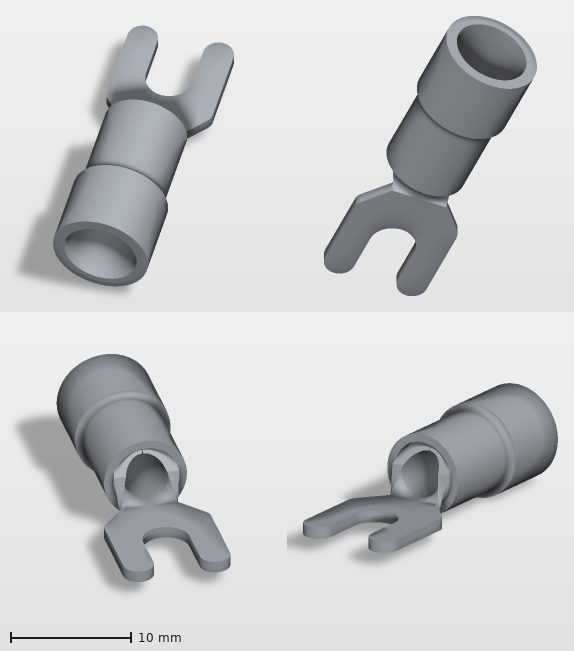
import cadquery as cq
import math

total_length = 25.8

flange_radius = 4.1
flange_length = 6.25
grip_radius = 3.55
sleeve_length = 13.95
entry_bore_radius = 3.15
step_fillet = flange_radius - grip_radius
barrel_start = flange_length + step_fillet

barrel_radius = 2.86
sheet_thickness = 1.0
barrel_bore_radius = barrel_radius - sheet_thickness
seam_width = 0.08
barrel_end = 14.3
trough_top = 0.57

fork_width = 9.15
slot_width = 3.97
slot_floor = 19.07
neck_start = 15.27
neck_width = 4.85
shoulder_start = 17.8
shoulder_fillet = 0.98
prong_width = (fork_width - slot_width) / 2


def make_sleeve():
    """Revolve the stepped sleeve, with its bore stepping down to fit the barrel."""
    half_root = math.sqrt(0.5)
    arc_middle = (
        flange_radius - step_fillet * half_root,
        barrel_start - step_fillet * half_root,
    )
    return (
        cq.Workplane("XY")
        .moveTo(entry_bore_radius, 0)
        .lineTo(flange_radius, 0)
        .lineTo(flange_radius, flange_length)
        .threePointArc(arc_middle, (grip_radius, barrel_start))
        .lineTo(grip_radius, sleeve_length)
        .lineTo(barrel_radius, sleeve_length)
        .lineTo(barrel_radius, barrel_start)
        .lineTo(entry_bore_radius, barrel_start)
        .close()
        .revolve(360, (0, 0, 0), (0, 1, 0))
    )


def make_barrel():
    """Rolled tube with a seam on top, its front end cut back at 45 degrees."""
    tube = (
        cq.Workplane("XZ", origin=(0, barrel_start, 0))
        .circle(barrel_radius)
        .circle(barrel_bore_radius)
        .extrude(barrel_start - barrel_end)
    )
    seam = cq.Workplane("XY").box(
        seam_width, total_length, barrel_radius, centered=(True, False, False)
    )
    cut_height = barrel_radius - trough_top
    front_cut = (
        cq.Workplane("YZ")
        .moveTo(barrel_end, trough_top)
        .lineTo(barrel_end, barrel_radius)
        .lineTo(barrel_end - cut_height, barrel_radius)
        .close()
        .extrude(barrel_radius, both=True)
    )
    return tube.cut(seam).cut(front_cut)


def make_transition():
    """Blend the open trough at the barrel's front into the flat neck."""
    outer_x = math.sqrt(barrel_radius**2 - trough_top**2)
    inner_x = math.sqrt(barrel_bore_radius**2 - trough_top**2)
    half_neck = neck_width / 2

    def trough_point(x, z):
        return cq.Vector(x, barrel_end, z)

    def neck_point(x, z):
        return cq.Vector(x, neck_start, z)

    outer_left = trough_point(-outer_x, trough_top)
    outer_right = trough_point(outer_x, trough_top)
    inner_left = trough_point(-inner_x, trough_top)
    inner_right = trough_point(inner_x, trough_top)
    lower_left = neck_point(-half_neck, -barrel_radius)
    lower_right = neck_point(half_neck, -barrel_radius)
    upper_left = neck_point(-half_neck, -barrel_bore_radius)
    upper_right = neck_point(half_neck, -barrel_bore_radius)

    trough_edges = [
        cq.Edge.makeThreePointArc(outer_left, trough_point(0, -barrel_radius), outer_right),
        cq.Edge.makeLine(outer_right, inner_right),
        cq.Edge.makeThreePointArc(inner_right, trough_point(0, -barrel_bore_radius), inner_left),
        cq.Edge.makeLine(inner_left, outer_left),
    ]
    neck_edges = [
        cq.Edge.makeLine(lower_left, lower_right),
        cq.Edge.makeLine(lower_right, upper_right),
        cq.Edge.makeLine(upper_right, upper_left),
        cq.Edge.makeLine(upper_left, lower_left),
    ]
    faces = [
        cq.Face.makeRuledSurface(trough_edge, neck_edge)
        for trough_edge, neck_edge in zip(trough_edges, neck_edges)
    ]
    for edges in (trough_edges, neck_edges):
        faces.append(cq.Face.makeFromWires(cq.Wire.assembleEdges(edges)))
    return cq.Workplane(cq.Solid.makeSolid(cq.Shell.makeShell(faces)).fix())


def make_fork():
    """Flat fork with tapered shoulders, an open slot and rounded prongs."""
    half_width = fork_width / 2
    half_neck = neck_width / 2
    half_slot = slot_width / 2
    tip_radius = prong_width / 2
    prong_end = total_length - tip_radius
    prong_middle = half_slot + tip_radius
    slot_arc_y = slot_floor + half_slot
    outline = (
        cq.Workplane("XY", origin=(0, 0, -barrel_radius))
        .moveTo(-half_neck, neck_start)
        .lineTo(half_neck, neck_start)
        .lineTo(half_width, shoulder_start)
        .lineTo(half_width, prong_end)
        .threePointArc((prong_middle, total_length), (half_slot, prong_end))
        .lineTo(half_slot, slot_arc_y)
        .threePointArc((0, slot_floor), (-half_slot, slot_arc_y))
        .lineTo(-half_slot, prong_end)
        .threePointArc((-prong_middle, total_length), (-half_width, prong_end))
        .lineTo(-half_width, shoulder_start)
        .close()
    )
    shoulders = cq.selectors.BoxSelector(
        (-fork_width, shoulder_start - shoulder_fillet, -barrel_radius),
        (fork_width, shoulder_start + shoulder_fillet, 0),
    )
    return outline.extrude(sheet_thickness).edges("|Z").edges(shoulders).fillet(shoulder_fillet)


sleeve = make_sleeve()
terminal = make_barrel().union(make_transition()).union(make_fork())

result = cq.Compound.makeCompound([sleeve.val(), terminal.solids().val()])